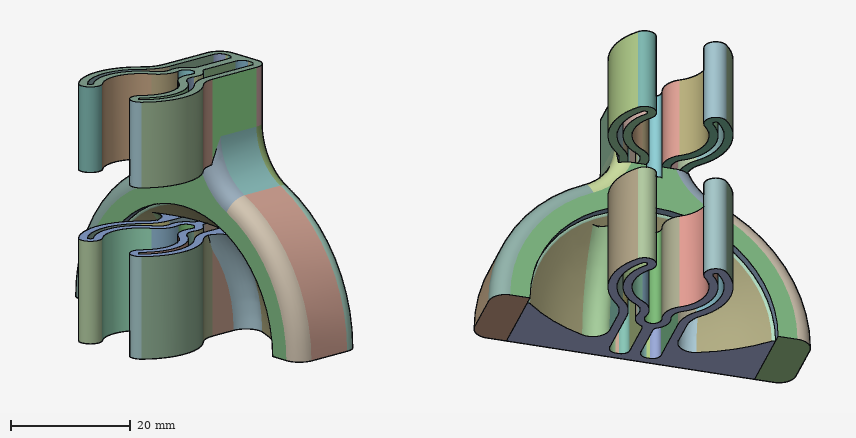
import cadquery as cq
import math

height = 45.0
depth = 14.2
arch_radius = 28.1
bore_radius = 21.7
edge_round = 3.0
neck_radius = 10.0

wall = 1.5
slot_width = 1.0
grip_radius = 6.45
grip_y = -9.9
tip_x = 6.25
half_width = 6.0
shoulder_radius = 5.0
flare_radius = 4.0
hole_radius = 1.45
hole_y = 0.55
spine_half = 0.95
spine_fillet = 1.0

upper_clip_bottom = 30.0
lower_clip_top = 18.0
relief_depth = 2.1

ledge_y = 1.5
dish_radius = 30.0
rim_round = 0.8
clip_fillet = 3.0

arm_width = 2 * wall + slot_width
tip_radius = arm_width / 2
outer_radius = grip_radius + arm_width
arm_mid_radius = grip_radius + tip_radius
tip_angle = math.asin(tip_x / arm_mid_radius)
pocket_half_width = half_width - wall
grip_center = (0.0, grip_y)
hole_center = (0.0, hole_y)
tip_center = (tip_x, grip_y - arm_mid_radius * math.cos(tip_angle))

shoulder_center = (
    half_width + shoulder_radius,
    grip_y + math.sqrt((outer_radius + shoulder_radius) ** 2 - (half_width + shoulder_radius) ** 2),
)
grip_reach = grip_radius + flare_radius
hole_reach = hole_radius + flare_radius
hole_to_grip = hole_y - grip_y
flare_rise = (grip_reach ** 2 - hole_reach ** 2 + hole_to_grip ** 2) / (2 * hole_to_grip)
flare_center = (math.sqrt(grip_reach ** 2 - flare_rise ** 2), grip_y + flare_rise)
bulge_radius = hole_radius + wall
spine_fillet_center = (
    spine_half + spine_fillet,
    hole_y + math.sqrt((bulge_radius + spine_fillet) ** 2 - (spine_half + spine_fillet) ** 2),
)
rim_center = (bore_radius, ledge_y + rim_round)
dish_center = (0.0, rim_center[1] - math.sqrt((dish_radius + rim_round) ** 2 - bore_radius ** 2))


def toward(center, target, radius):
    """Point on the circle about center, in the direction of target."""
    span = math.dist(center, target)
    return tuple(c + radius * (t - c) / span for c, t in zip(center, target))


def arc_to(sketch, center, start, end):
    """Add the shorter arc about center from start to end."""
    middle = ((start[0] + end[0]) / 2, (start[1] + end[1]) / 2)
    return sketch.threePointArc(toward(center, middle, math.dist(center, start)), end)


def clip_body(bottom, top):
    """Clip without pockets or hole: root block and the two curved arms."""
    back_start = (half_width - edge_round, depth)
    back_end = (half_width, depth - edge_round)
    back_center = (half_width - edge_round, depth - edge_round)
    shoulder_start = (half_width, shoulder_center[1])
    shoulder_end = toward(grip_center, shoulder_center, outer_radius)
    tip_outer = toward(grip_center, tip_center, outer_radius)
    tip_end = (
        tip_center[0] - tip_radius * math.cos(tip_angle),
        tip_center[1] - tip_radius * math.sin(tip_angle),
    )
    tip_inner = toward(grip_center, tip_center, grip_radius)
    flare_start = toward(grip_center, flare_center, grip_radius)
    flare_end = toward(hole_center, flare_center, hole_radius)
    outer_middle = (outer_radius, grip_y)
    grip_middle = (grip_radius, grip_y)

    half = cq.Workplane("XY").workplane(offset=bottom).moveTo(0, depth).lineTo(*back_start)
    half = arc_to(half, back_center, back_start, back_end).lineTo(*shoulder_start)
    half = arc_to(half, shoulder_center, shoulder_start, shoulder_end)
    half = half.threePointArc(outer_middle, tip_outer).threePointArc(tip_end, tip_inner)
    half = half.threePointArc(grip_middle, flare_start)
    half = arc_to(half, flare_center, flare_start, flare_end)
    outline = half.lineTo(0, flare_end[1]).mirrorY()
    return outline.extrude(top - bottom)


def clip_pockets(bottom, top):
    """Pocket beside the spine that narrows into the slot of each arm."""
    corner = edge_round - wall
    slot_outer_radius = outer_radius - wall
    slot_inner_radius = grip_radius + wall
    back_y = depth - wall
    inner_corner = (spine_half + corner, back_y - corner)
    outer_corner = (pocket_half_width - corner, back_y - corner)
    outer_straight_end = (pocket_half_width, shoulder_center[1])
    slot_start = toward(grip_center, shoulder_center, slot_outer_radius)
    slot_end_outer = toward(grip_center, tip_center, slot_outer_radius)
    slot_end_inner = toward(grip_center, tip_center, slot_inner_radius)
    slot_tip = (
        tip_center[0] - slot_width / 2 * math.cos(tip_angle),
        tip_center[1] - slot_width / 2 * math.sin(tip_angle),
    )
    flare_start = toward(grip_center, flare_center, slot_inner_radius)
    flare_end = toward(hole_center, flare_center, bulge_radius)
    spine_start = toward(hole_center, spine_fillet_center, bulge_radius)
    spine_end = (spine_half, spine_fillet_center[1])
    inner_side = (spine_half, inner_corner[1])
    inner_back = (inner_corner[0], back_y)
    outer_back = (outer_corner[0], back_y)
    outer_side = (pocket_half_width, outer_corner[1])

    pocket = cq.Workplane("XY").workplane(offset=bottom).moveTo(*spine_end).lineTo(*inner_side)
    pocket = arc_to(pocket, inner_corner, inner_side, inner_back).lineTo(*outer_back)
    pocket = arc_to(pocket, outer_corner, outer_back, outer_side).lineTo(*outer_straight_end)
    pocket = arc_to(pocket, shoulder_center, outer_straight_end, slot_start)
    pocket = pocket.threePointArc((slot_outer_radius, grip_y), slot_end_outer)
    pocket = pocket.threePointArc(slot_tip, slot_end_inner)
    pocket = pocket.threePointArc((slot_inner_radius, grip_y), flare_start)
    pocket = arc_to(pocket, flare_center, flare_start, flare_end)
    pocket = arc_to(pocket, hole_center, flare_end, spine_start)
    pocket = arc_to(pocket, spine_fillet_center, spine_start, spine_end).close()
    pocket = pocket.extrude(top - bottom)
    return pocket.add(pocket.mirror("YZ")).combine(clean=False)


def center_hole(bottom, top):
    """Relief hole at the root of the two arms."""
    hole = cq.Workplane("XY").workplane(offset=bottom).center(*hole_center).circle(hole_radius)
    return hole.extrude(top - bottom)


def arch_block():
    """Half disc blended into an upright column, with rounded outer edges."""
    neck_x = half_width + neck_radius
    neck_center = (neck_x, math.sqrt((arch_radius + neck_radius) ** 2 - neck_x ** 2))
    neck_start = toward((0.0, 0.0), neck_center, arch_radius)
    neck_end = (half_width, neck_center[1])
    arch_angle = math.atan2(neck_start[1], neck_start[0])
    arch_middle = (arch_radius * math.cos(arch_angle / 2), arch_radius * math.sin(arch_angle / 2))

    half = cq.Workplane("XZ").lineTo(arch_radius, 0).threePointArc(arch_middle, neck_start)
    half = arc_to(half, neck_center, neck_start, neck_end).lineTo(half_width, height).lineTo(0, height)
    block = half.mirrorY().extrude(-depth)
    inset = 0.55
    outer_edges = cq.selectors.BoxSelector(
        (-arch_radius, -inset, inset), (arch_radius, depth + inset, height - inset)
    )
    return block.faces("<Y or >Y").edges(outer_edges).fillet(edge_round)


def make_arch():
    """Arch, column and upper clip as one solid."""
    bore = cq.Workplane("XZ").circle(bore_radius).extrude(-depth)
    body = arch_block().cut(bore).union(clip_body(upper_clip_bottom, height))
    body = body.cut(center_hole(upper_clip_bottom - relief_depth, height))
    return body.cut(clip_pockets(upper_clip_bottom, height))


def dish_disc():
    """Half disc that fills the bore, with a spherical dish and a rounded lip."""
    lip_end = toward(dish_center, rim_center, dish_radius)
    apex = (0.0, dish_center[1] + dish_radius)
    profile = cq.Workplane("XY").moveTo(0, depth).lineTo(bore_radius, depth).lineTo(bore_radius, ledge_y)
    profile = arc_to(profile, rim_center, (bore_radius, ledge_y), lip_end)
    profile = arc_to(profile, dish_center, lip_end, apex).close()
    return profile.revolve(180, (0, 0, 0), (0, -1, 0))


def side_blends():
    """Rolling-ball fillets where the flat sides of the lower clip run into the dish.

    Each is a torus segment about the line through the dish center along X.
    """
    ball_x = half_width + clip_fillet
    ball_rise = math.sqrt((dish_radius - clip_fillet) ** 2 - ball_x ** 2)
    ball_center = (ball_x, dish_center[1] + ball_rise)
    side_end = (half_width, ball_center[1])
    dish_end = toward(dish_center, ball_center, dish_radius)
    apex_y = dish_center[1] + dish_radius

    profile = cq.Workplane("XY").moveTo(*side_end)
    profile = arc_to(profile, ball_center, side_end, dish_end)
    profile = profile.lineTo(dish_end[0], apex_y).lineTo(half_width, apex_y).close()
    ring = profile.revolve(90, (0, dish_center[1], 0), (1, dish_center[1], 0))
    below_top = cq.Workplane("XY").box(2 * bore_radius, 2 * depth, lower_clip_top, centered=(True, True, False))
    blend = ring.intersect(below_top)
    return blend, blend.mirror("YZ")


def make_insert():
    """Dished disc and lower clip as one solid."""
    body = dish_disc().union(clip_body(0, lower_clip_top))
    for blend in side_blends():
        body = body.union(blend)
    return body.cut(center_hole(0, lower_clip_top)).cut(clip_pockets(0, lower_clip_top))


arch = make_arch()
insert = make_insert()
result = cq.Compound.makeCompound([arch.val(), insert.val()])